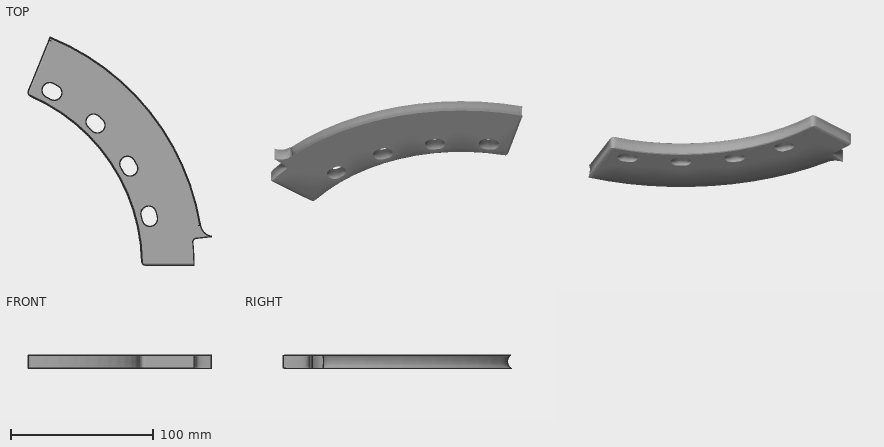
import cadquery as cq
import math

thickness = 9.51
sector_angle = 67.9
inner_radius = 129.6
rim_radius = 173.51
upper_rim_radius = 172.9
groove_root_radius = 170.5
corner_fillet = 3.3

bevel_height = 0.5
end_bevel_width = 1.6
inner_bevel_width = 0.7
far_bevel_gap = 2.2

slot_count = 4
slot_orbit_radius = 139.4
slot_width = 10.7
slot_length = 14.3
first_slot_angle = 14.4
slot_pitch_angle = 15.69

step_radius = 166.6
step_angle = 6.45
step_fillet = 2.4
tooth_tip_radius = 179.96
tooth_tip_thickness = 0.4
tooth_root_angle = 9.4
tooth_back_radius = 175.9
tooth_back_angle = 7.38

cut_margin = 5.0


def polar(radius, angle):
    """Point in the plane of the plate at a radius and an angle in degrees."""
    return radius * math.cos(math.radians(angle)), radius * math.sin(math.radians(angle))


def make_plate():
    """Sector with a stepped rim, a tooth and rounded inner corners."""
    tip_angle = step_angle + math.degrees(tooth_tip_thickness / tooth_tip_radius)
    middle_angle = (tooth_root_angle + sector_angle) / 2
    plate = (
        cq.Workplane("XY")
        .moveTo(inner_radius, 0)
        .lineTo(step_radius, 0)
        .threePointArc(polar(step_radius, step_angle / 2), polar(step_radius, step_angle))
        .lineTo(*polar(tooth_tip_radius, step_angle))
        .lineTo(*polar(tooth_tip_radius, tip_angle))
        .threePointArc(polar(tooth_back_radius, tooth_back_angle), polar(rim_radius, tooth_root_angle))
        .threePointArc(polar(rim_radius, middle_angle), polar(rim_radius, sector_angle))
        .lineTo(*polar(inner_radius, sector_angle))
        .threePointArc(polar(inner_radius, sector_angle / 2), (inner_radius, 0))
        .close()
        .extrude(thickness)
    )
    plate = round_upright_edge(plate, polar(inner_radius, 0), corner_fillet)
    plate = round_upright_edge(plate, polar(inner_radius, sector_angle), corner_fillet)
    return round_upright_edge(plate, polar(step_radius, step_angle), step_fillet)


def round_upright_edge(body, corner, radius):
    """Fillet the vertical edge standing nearest to a plan corner."""
    edge = cq.selectors.NearestToPointSelector((*corner, thickness / 2))
    return body.edges("|Z").edges(edge).fillet(radius)


def make_groove():
    """Hollow cut around the rim, from the tooth root to the far end."""
    outside = rim_radius + cut_margin
    overrun_angle = 2.0
    return (
        cq.Workplane("XZ")
        .moveTo(rim_radius, 0)
        .threePointArc((groove_root_radius, thickness / 2), (upper_rim_radius, thickness))
        .lineTo(outside, thickness)
        .lineTo(outside, 0)
        .close()
        .revolve(sector_angle + overrun_angle - tooth_root_angle, (0, 0), (0, 1))
        .rotate((0, 0, 0), (0, 0, 1), tooth_root_angle)
    )


def mirror_to_lower_face(cutter):
    """A cutter for the upper face together with its copy for the lower face."""
    return cutter.union(cutter.mirror("XY", (0, 0, thickness / 2)))


def make_end_bevel(outer_radius):
    """Wedges along the end on the +X axis, bevelling both faces."""
    wedge = (
        cq.Workplane("YZ", origin=(inner_radius - cut_margin, 0, 0))
        .moveTo(end_bevel_width, thickness)
        .lineTo(0, thickness - bevel_height)
        .lineTo(-cut_margin, thickness - bevel_height)
        .lineTo(-cut_margin, thickness)
        .close()
        .extrude(outer_radius - inner_radius + cut_margin)
    )
    return mirror_to_lower_face(wedge)


def make_far_end_bevel():
    """The end bevel flipped over and turned round to the far end."""
    bevel = make_end_bevel(rim_radius - far_bevel_gap).mirror("XZ")
    return bevel.rotate((0, 0, 0), (0, 0, 1), sector_angle)


def make_inner_bevel():
    """Rings that bevel the inner arc."""
    ring = (
        cq.Workplane("XZ")
        .moveTo(inner_radius + inner_bevel_width, thickness)
        .lineTo(inner_radius, thickness - bevel_height)
        .lineTo(inner_radius - cut_margin, thickness - bevel_height)
        .lineTo(inner_radius - cut_margin, thickness)
        .close()
        .revolve(360, (0, 0), (0, 1))
    )
    return mirror_to_lower_face(ring)


def make_slots():
    """Through slots, each one lying along the tangent of the arc."""
    slots = cq.Workplane("XY")
    for index in range(slot_count):
        angle = first_slot_angle + index * slot_pitch_angle
        slot = (
            cq.Workplane("XY")
            .center(*polar(slot_orbit_radius, angle))
            .slot2D(slot_length, slot_width, angle + 90)
            .extrude(thickness)
        )
        slots = slots.add(slot)
    return slots.combine()


result = (
    make_plate()
    .cut(make_groove())
    .cut(make_end_bevel(rim_radius))
    .cut(make_far_end_bevel())
    .cut(make_inner_bevel())
    .cut(make_slots())
    .solids()
)